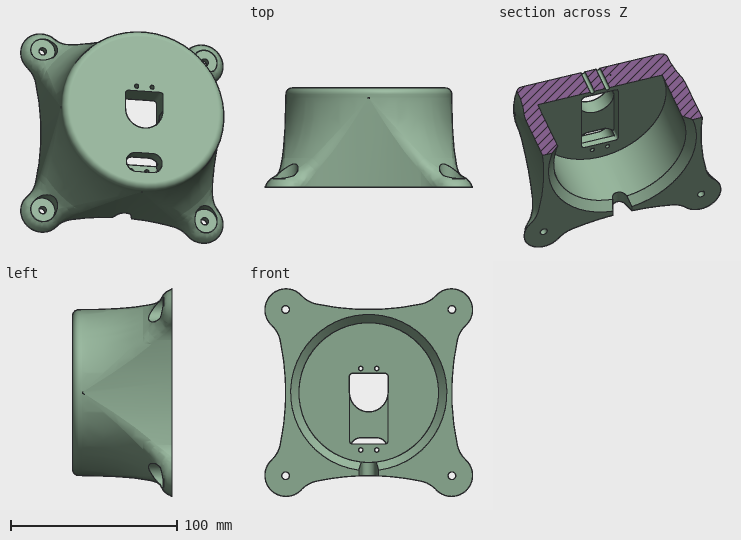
import cadquery as cq
import math

depth = 60.0
drum_radius = 50.0
drum_edge_fillet = 4.0

lobe_offset = 50.0
lobe_radius = 12.7
lobe_thickness = 5.0
rim_fillet = 8.5
mount_hole_diameter = 4.5
counterbore_diameter = 15.0

trim_allowance = 0.2
blank_start = lobe_thickness - rim_fillet - trim_allowance

side_clearance = 0.001
side_offset = drum_radius - side_clearance
side_arc_radius = 150.0
side_arc_reach = 31.6

flare_start = 54.0
flare_end = 17.5
flare_radius = 67.5
foot_radius = 26.9
blank_radius = 100.0

cavity_diameter = 84.0
cavity_depth = 42.0
cavity_chamfer = 5.0

notch_half_width = 6.0
notch_centre_y = 6.0
notch_radius = 4.0

pocket_width = 23.2
pocket_length = 42.5
pocket_centre_z = -9.6
pocket_end = 50.0
pocket_corner_radius = 2.0
round_opening_diameter = 23.0
slot_length = 22.0
slot_width = 12.0
slot_centre_z = -33.2
slot_start = 46.0

screw_hole_diameter = 2.5
screw_spacing_x = 9.6
screw_spacing_z = 49.0
screw_centre_z = -10.0


def plane_at(y):
    """XZ sketch plane at depth y; a negative extrusion runs towards +Y."""
    return cq.Workplane("XZ", origin=(0, y, 0))


def quarter_turns(point, count):
    x, y = point
    for _ in range(count):
        x, y = y, -x
    return x, y


def lobed_outline():
    """Square outline with hollow arc sides and a round lobe at each corner."""
    side_angle = math.asin(side_arc_reach / side_arc_radius)
    side_rise = side_arc_radius * (1 - math.cos(side_angle))
    side_end = (side_arc_reach, side_offset + side_rise)

    normal_x, normal_y = -math.sin(side_angle), math.cos(side_angle)
    gap_x, gap_y = side_end[0] - lobe_offset, side_end[1] - lobe_offset
    gap_along_normal = gap_x * normal_x + gap_y * normal_y
    blend_radius = (lobe_radius**2 - gap_x**2 - gap_y**2) / (2 * (gap_along_normal - lobe_radius))
    lobe_share = lobe_radius / (lobe_radius + blend_radius)
    lobe_start = (
        lobe_offset + lobe_share * (gap_x + blend_radius * normal_x),
        lobe_offset + lobe_share * (gap_y + blend_radius * normal_y),
    )
    lobe_tip = lobe_offset + lobe_radius * math.sqrt(0.5)

    sketch = plane_at(blank_start).moveTo(-side_end[0], side_end[1])
    for turn in range(4):
        side_middle = quarter_turns((0, side_offset), turn)
        sketch = sketch.threePointArc(side_middle, quarter_turns(side_end, turn))
        sketch = sketch.tangentArcPoint(quarter_turns(lobe_start, turn), relative=False)
        tip = quarter_turns((lobe_tip, lobe_tip), turn)
        sketch = sketch.threePointArc(tip, quarter_turns(lobe_start[::-1], turn))
        sketch = sketch.tangentArcPoint(quarter_turns(side_end[::-1], turn), relative=False)
    return sketch.close()


def flare_blank():
    """Revolved flare: tangent to the drum at its start, flat on top of the lobes."""
    flare_centre = (drum_radius + flare_radius, flare_start)
    flare_sweep = math.asin((flare_start - flare_end) / flare_radius)

    def on_flare(angle):
        return (
            flare_centre[0] - flare_radius * math.cos(angle),
            flare_centre[1] - flare_radius * math.sin(angle),
        )

    waist = on_flare(flare_sweep)
    foot_centre_y = lobe_thickness + foot_radius
    foot_angle = math.asin((foot_centre_y - flare_end) / foot_radius)
    foot_centre_x = waist[0] + foot_radius * math.cos(foot_angle)
    foot_middle_angle = (foot_angle + math.pi / 2) / 2
    foot_middle = (
        foot_centre_x - foot_radius * math.cos(foot_middle_angle),
        foot_centre_y - foot_radius * math.sin(foot_middle_angle),
    )
    return (
        cq.Workplane("XY")
        .moveTo(0, blank_start)
        .lineTo(blank_radius, blank_start)
        .lineTo(blank_radius, lobe_thickness)
        .lineTo(foot_centre_x, lobe_thickness)
        .threePointArc(foot_middle, waist)
        .threePointArc(on_flare(flare_sweep / 2), (drum_radius, flare_start))
        .lineTo(0, flare_start)
        .close()
        .revolve(360, (0, 0, 0), (0, 1, 0))
    )


def flared_base():
    base = lobed_outline().extrude(blank_start - flare_start).intersect(flare_blank())
    rim_zone = cq.selectors.BoxSelector(
        (-blank_radius, 0, -blank_radius),
        (blank_radius, (flare_start + flare_end) / 2, blank_radius),
    )
    upright_edges = cq.selectors.ParallelDirSelector(cq.Vector(0, 1, 0))
    base = base.edges(rim_zone - upright_edges).fillet(rim_fillet)
    below_face = plane_at(blank_start).circle(blank_radius).extrude(blank_start)
    return base.cut(below_face)


def drum_end():
    """Straight end of the drum, standing on the flat top of the flared base."""
    cylinder = plane_at(flare_start).circle(drum_radius).extrude(flare_start - depth)
    return cylinder.faces(">Y").edges().fillet(drum_edge_fillet)


def mounting_holes():
    centres = [(x, z) for x in (-lobe_offset, lobe_offset) for z in (-lobe_offset, lobe_offset)]
    through = plane_at(0).pushPoints(centres).circle(mount_hole_diameter / 2).extrude(-depth)
    counterbores = (
        plane_at(lobe_thickness)
        .pushPoints(centres)
        .circle(counterbore_diameter / 2)
        .extrude(lobe_thickness - depth)
    )
    return through.union(counterbores)


def cavity():
    bore_radius = cavity_diameter / 2
    return (
        cq.Workplane("XY")
        .lineTo(bore_radius + cavity_chamfer, 0)
        .lineTo(bore_radius, cavity_chamfer)
        .lineTo(bore_radius, cavity_depth)
        .lineTo(0, cavity_depth)
        .close()
        .revolve(360, (0, 0, 0), (0, 1, 0))
    )


def cable_notch():
    corner_distance = math.hypot(notch_half_width, notch_centre_y)
    corner_angle = math.atan2(notch_centre_y, notch_half_width)
    touch_angle = math.acos(notch_radius / corner_distance) - corner_angle
    touch_x = notch_radius * math.cos(touch_angle)
    touch_y = notch_centre_y + notch_radius * math.sin(touch_angle)
    return (
        cq.Workplane("XY")
        .moveTo(-notch_half_width, 0)
        .lineTo(notch_half_width, 0)
        .lineTo(touch_x, touch_y)
        .threePointArc((0, notch_centre_y + notch_radius), (-touch_x, touch_y))
        .close()
        .extrude(-blank_radius)
    )


def floor_openings():
    pocket = (
        plane_at(cavity_depth)
        .center(0, pocket_centre_z)
        .rect(pocket_width, pocket_length)
        .extrude(cavity_depth - pocket_end)
        .edges("|Y")
        .fillet(pocket_corner_radius)
    )
    round_opening = plane_at(cavity_depth).circle(round_opening_diameter / 2).extrude(cavity_depth - depth)
    top_opening_height = pocket_centre_z + pocket_length / 2
    top_opening = (
        plane_at(cavity_depth)
        .center(0, top_opening_height / 2)
        .rect(pocket_width, top_opening_height)
        .extrude(cavity_depth - depth)
        .edges("|Y and >Z")
        .fillet(pocket_corner_radius)
    )
    slot = (
        plane_at(slot_start)
        .center(0, slot_centre_z)
        .slot2D(slot_length, slot_width)
        .extrude(slot_start - depth)
    )
    return pocket.union(round_opening).union(top_opening).union(slot)


def screw_holes():
    return (
        plane_at(cavity_depth)
        .center(0, screw_centre_z)
        .rect(screw_spacing_x, screw_spacing_z, forConstruction=True)
        .vertices()
        .circle(screw_hole_diameter / 2)
        .extrude(cavity_depth - depth)
    )


result = flared_base().union(drum_end())
for opening in (mounting_holes(), cavity(), cable_notch(), floor_openings(), screw_holes()):
    result = result.cut(opening)